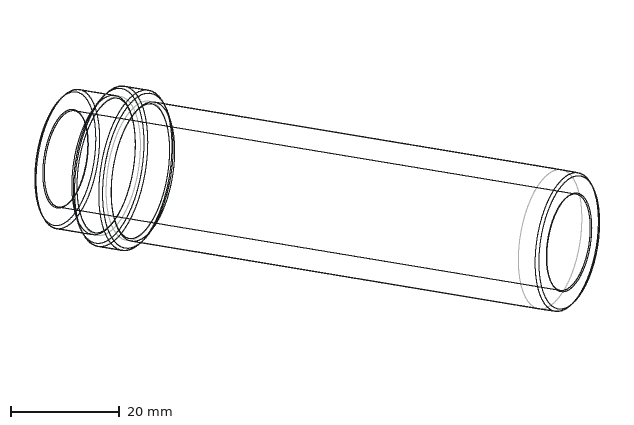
import cadquery as cq

length = 104.0
bore_diameter = 18.0
body_diameter = 26.0
collar_diameter = 30.0

collar_start = 8.9
collar_width = 6.0
collar_chamfer = 0.5
groove_width = 1.0
groove_depth = 0.4

end_chamfer = 0.5
bore_chamfer = 0.2

lead_length = 4.0
lead_reduction = 0.05

body_radius = body_diameter / 2
groove_radius = body_radius - groove_depth
lead_radius = body_radius - lead_reduction
collar_radius = collar_diameter / 2
bore_radius = bore_diameter / 2
collar_end = collar_start + collar_width
near_groove_start = collar_start - groove_width
far_groove_end = collar_end + groove_width


def sleeve_profile():
    """Half section of the sleeve: X along the axis, Y as the radius."""
    return (
        cq.Workplane("XY")
        .moveTo(bore_chamfer, bore_radius)
        .lineTo(0, bore_radius + bore_chamfer)
        .lineTo(0, body_radius - end_chamfer)
        .lineTo(end_chamfer, body_radius)
        .lineTo(near_groove_start, body_radius)
        .threePointArc(
            (collar_start - groove_width / 2, groove_radius),
            (collar_start, body_radius),
        )
        .lineTo(collar_start, collar_radius - collar_chamfer)
        .lineTo(collar_start + collar_chamfer, collar_radius)
        .lineTo(collar_end - collar_chamfer, collar_radius)
        .lineTo(collar_end, collar_radius - collar_chamfer)
        .lineTo(collar_end, body_radius)
        .threePointArc(
            (collar_end + groove_width / 2, groove_radius),
            (far_groove_end, body_radius),
        )
        .lineTo(length - lead_length, body_radius)
        .lineTo(length - end_chamfer, lead_radius)
        .lineTo(length, lead_radius - end_chamfer)
        .lineTo(length, bore_radius + bore_chamfer)
        .lineTo(length - bore_chamfer, bore_radius)
        .close()
    )


result = sleeve_profile().revolve(360, (0, 0, 0), (1, 0, 0))